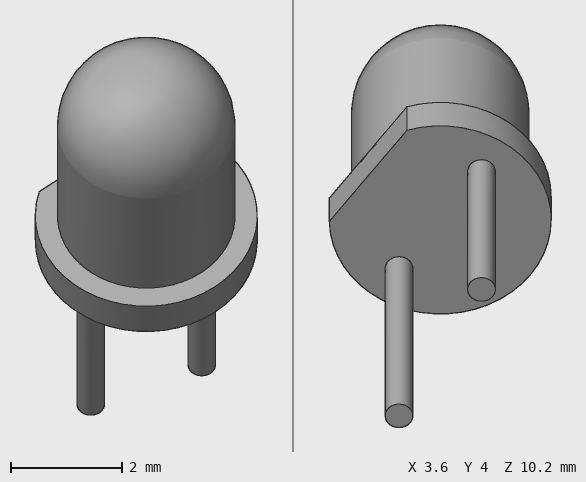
import cadquery as cq

total_height = 10.2
body_radius = 1.6
flange_radius = 2.0
flange_thickness = 0.8
short_lead_length = 4.0
lead_diameter = 0.5
lead_spacing = 2.54
body_length = 2.8

dome_base = flange_thickness + body_length
dome_top = dome_base + body_radius
long_lead_length = total_height - dome_top


def make_lens():
    """Revolve the cylindrical body and its hemispherical dome about Z."""
    arc_offset = body_radius * 0.5 ** 0.5
    return (
        cq.Workplane("XZ")
        .lineTo(body_radius, 0)
        .lineTo(body_radius, dome_base)
        .threePointArc((arc_offset, dome_base + arc_offset), (0, dome_top))
        .close()
        .revolve(360, (0, 0), (0, 1))
    )


def make_flange():
    """Round flange with one flat, tangent to the body on the -X side."""
    disc = cq.Workplane("XY").circle(flange_radius).extrude(flange_thickness)
    flat_keeper = (
        cq.Workplane("XY")
        .box(2 * flange_radius, 2 * flange_radius, flange_thickness, centered=(False, True, False))
        .translate((-body_radius, 0, 0))
    )
    return disc.intersect(flat_keeper)


def make_lead(y_position, length):
    """Round lead hanging below the flange."""
    return (
        cq.Workplane("XY")
        .center(0, y_position)
        .circle(lead_diameter / 2)
        .extrude(-length)
    )


result = make_flange().union(make_lens())
for y_position, length in (
    (lead_spacing / 2, long_lead_length),
    (-lead_spacing / 2, short_lead_length),
):
    result = result.union(make_lead(y_position, length))